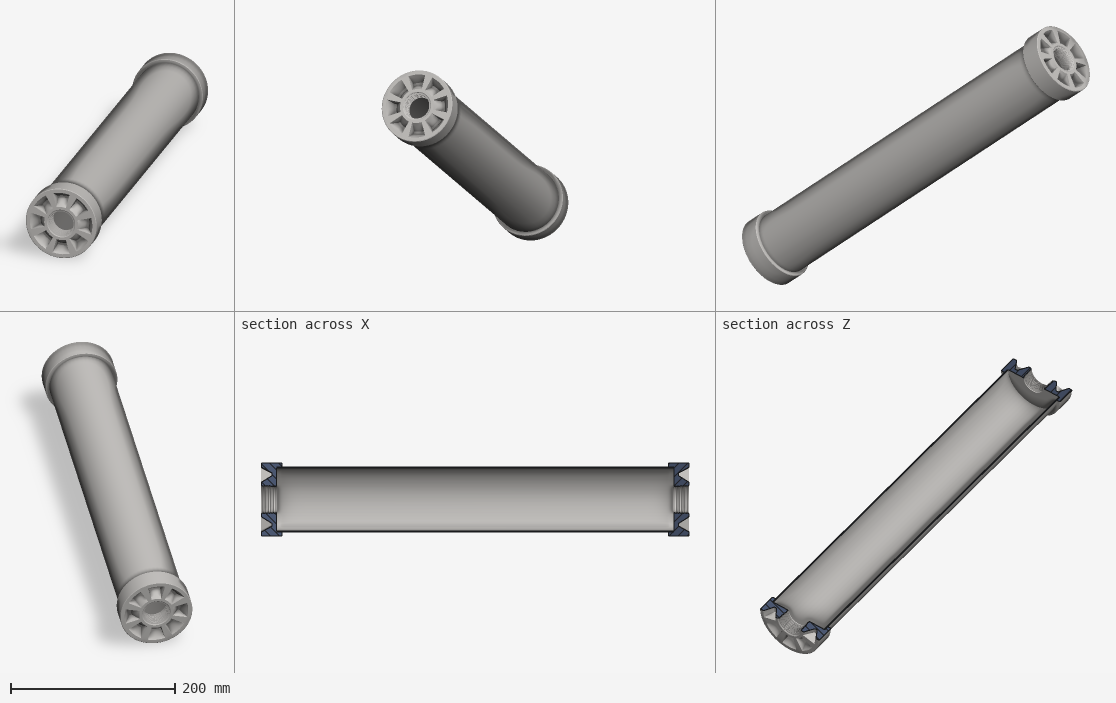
import cadquery as cq
import math

Y_AXIS = ((0, 0, 0), (0, 1, 0))

overall_length = 520.7
cap_diameter = 89.34
tube_outer_diameter = 79.38
tube_inner_diameter = 76.33

cap_length = 25.4
end_plate_thickness = 19.05
rim_chamfer = 0.7

port_minor_diameter = 29.37
port_mouth_diameter = 35.6
port_mouth_depth = 0.8
thread_pitch = 1.5
thread_height = 1.6
thread_flat = 0.3
thread_taper = 1 / 32
thread_turns = math.floor((end_plate_thickness - port_mouth_depth) / thread_pitch)

pocket_count = 8
pocket_angle = 29.5
pocket_side_apex = -2.3
pocket_outer_radius = 39.4
pocket_side_draft = 5.0
pocket_inner_radius = 21.3
pocket_depth = 12.7
pocket_floor_outer_radius = 32.2
pocket_floor_inner_radius = 29.2


def make_tube():
    """Plain tube along Y whose ends seat against the cap end plates."""
    length = overall_length - 2 * end_plate_thickness
    return (
        cq.Workplane("XZ", origin=(0, length / 2, 0))
        .circle(tube_outer_diameter / 2)
        .circle(tube_inner_diameter / 2)
        .extrude(length)
    )


def make_cap_blank():
    """Cap with its outer face at Y = 0, a tube socket behind the end plate and a tapered threaded port."""
    outer = cap_diameter / 2
    socket = tube_outer_diameter / 2
    port_end = port_minor_diameter / 2
    profile = (
        cq.Workplane("XY")
        .moveTo(port_end, end_plate_thickness)
        .lineTo(socket, end_plate_thickness)
        .lineTo(socket, cap_length)
        .lineTo(outer - rim_chamfer, cap_length)
        .lineTo(outer, cap_length - rim_chamfer)
        .lineTo(outer, rim_chamfer)
        .lineTo(outer - rim_chamfer, 0)
        .lineTo(port_mouth_diameter / 2, 0)
    )
    flank_length = thread_pitch / 2 - thread_flat
    for turn in range(thread_turns):
        root_start = turn * thread_pitch + port_mouth_depth
        root_end = root_start + thread_flat
        crest_start = root_end + flank_length
        crest_end = crest_start + thread_flat
        profile = (
            profile.lineTo(thread_crest_radius(root_start) + thread_height, root_start)
            .lineTo(thread_crest_radius(root_end) + thread_height, root_end)
            .lineTo(thread_crest_radius(crest_start), crest_start)
            .lineTo(thread_crest_radius(crest_end), crest_end)
        )
    return profile.close().revolve(360, *Y_AXIS)


def thread_crest_radius(depth):
    return port_minor_diameter / 2 + thread_taper * (end_plate_thickness - depth)


def make_pocket():
    """Pocket centred on +X: conical inner and outer walls between two drafted radial walls."""
    ring = (
        cq.Workplane("XY")
        .moveTo(pocket_inner_radius, 0)
        .lineTo(pocket_outer_radius, 0)
        .lineTo(pocket_floor_outer_radius, pocket_depth)
        .lineTo(pocket_floor_inner_radius, pocket_depth)
        .close()
        .revolve(360, *Y_AXIS)
    )
    wedge_end = cap_diameter / 2
    wedge_half_width = (wedge_end - pocket_side_apex) * math.tan(math.radians(pocket_angle / 2))
    wedge = (
        cq.Workplane("XZ")
        .moveTo(pocket_side_apex, 0)
        .lineTo(wedge_end, -wedge_half_width)
        .lineTo(wedge_end, wedge_half_width)
        .close()
        .extrude(-pocket_depth, taper=pocket_side_draft)
    )
    return ring.intersect(wedge)


def make_cap():
    """Cap at the -Y end with its ring of pockets."""
    cap = make_cap_blank()
    for index in range(pocket_count):
        cap = cap.cut(make_pocket().rotate(*Y_AXIS, index * 360 / pocket_count))
    return cap.translate((0, -overall_length / 2, 0))


tube = make_tube()
front_cap = make_cap()
rear_cap = front_cap.mirror("XZ")
result = cq.Compound.makeCompound([tube.val(), front_cap.val(), rear_cap.val()])